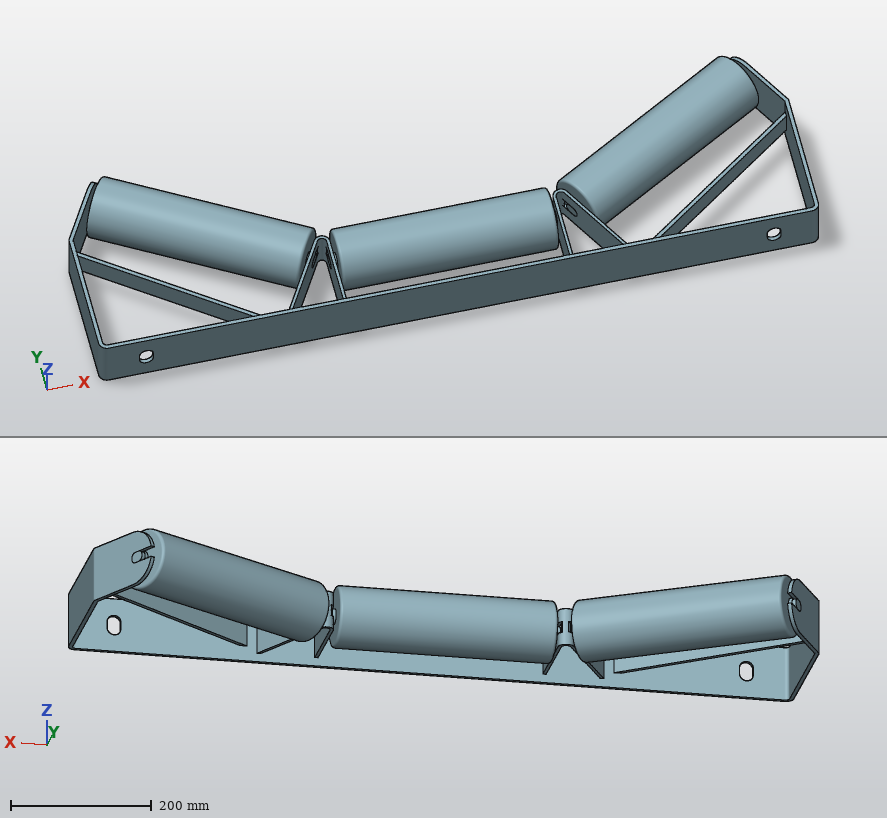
import cadquery as cq
import math

FRAME_LENGTH = 1050.0
STRIP_WIDTH = 80.0
STRIP_THICKNESS = 6.0
CORNER_RADIUS = 2 * STRIP_THICKNESS
TROUGH_ANGLE = 30.0
MOUNT_SPACING = 916.0
MOUNT_SLOT_WIDTH = 20.0
MOUNT_SLOT_LENGTH = 29.0

ROLLER_LENGTH = 315.0
ROLLER_DIAMETER = 89.0
ROLLER_EDGE_RADIUS = 4.0
SHAFT_DIAMETER = 22.0
SHAFT_FLATS = 16.0
END_CLEARANCE = 5.0
CENTRE_AXIS_Y = 100.0
WING_CENTRE_X = 333.0
WING_CENTRE_Y = 190.0
PLATE_TIP_RISE = 32.0

BRACKET_THICKNESS = 4.7
BRACKET_WIDTH = 55.0
BRACKET_BEND_RADIUS = 12.0

BRACE_THICKNESS = 6.0
BRACE_WIDTH = 35.0
BRACE_FOOT_X = 266.0
BRACE_HEAD_Y = 190.0

HALF_LENGTH = FRAME_LENGTH / 2
ANGLE = math.radians(TROUGH_ANGLE)
COS = math.cos(ANGLE)
SIN = math.sin(ANGLE)
SEAT = ROLLER_LENGTH / 2 + END_CLEARANCE
WING_OFFSET = WING_CENTRE_X * COS + WING_CENTRE_Y * SIN
SLOT_REACH = STRIP_WIDTH


def extrude_centred(sketch, width):
    """Extrude an XY outline symmetrically about Z = 0."""
    return sketch.extrude(width / 2, both=True)


def mirrored(body):
    """The same body on the -X side."""
    return body.mirror("YZ")


def x_on_tilted_face(offset, y):
    """X at height y on the face square to the wing shaft at this offset along it."""
    return (offset - y * SIN) / COS


def y_on_tilted_face(offset, x):
    """Y at position x on the face square to the wing shaft at this offset along it."""
    return (offset - x * COS) / SIN


def centre_plane(along):
    """Plane square to the centre shaft; local x is +Y and local y is +Z."""
    return cq.Plane(origin=(along, CENTRE_AXIS_Y, 0), xDir=(0, 1, 0), normal=(1, 0, 0))


def wing_plane(along):
    """Plane square to the +X wing shaft; local x points away from the base, local y is +Z."""
    origin = (WING_CENTRE_X + along * COS, WING_CENTRE_Y + along * SIN, 0)
    return cq.Plane(origin=origin, xDir=(-SIN, COS, 0), normal=(COS, SIN, 0))


def shaft_end_outline(plane):
    """Section of a shaft end: two flats facing +Z and -Z, joined by round sides."""
    return cq.Workplane(plane).slot2D(SHAFT_DIAMETER, SHAFT_FLATS)


def shaft_slot(plane, thickness):
    """Cutter for an open slot in a plate: fits the shaft end and runs out past the plate's tip."""
    return (
        cq.Workplane(plane)
        .center(SLOT_REACH / 2, 0)
        .slot2D(SHAFT_DIAMETER + SLOT_REACH, SHAFT_FLATS)
        .extrude(thickness)
    )


WALL_BEND_Y = y_on_tilted_face(WING_OFFSET + SEAT + STRIP_THICKNESS, HALF_LENGTH)


def make_roller(plane_at, near_plate, far_plate):
    """Roller with its shaft; the shaft ends lie flush with the far faces of the two plates."""
    shell = (
        cq.Workplane(plane_at(-ROLLER_LENGTH / 2))
        .circle(ROLLER_DIAMETER / 2)
        .extrude(ROLLER_LENGTH)
        .edges()
        .fillet(ROLLER_EDGE_RADIUS)
    )
    journals = cq.Workplane(plane_at(-SEAT)).circle(SHAFT_DIAMETER / 2).extrude(2 * SEAT)
    start = -SEAT - near_plate
    flats = shaft_end_outline(plane_at(start)).extrude(2 * SEAT + near_plate + far_plate)
    return shell.union(journals).union(flats)


def make_outer_plate():
    """Tilted plate at the top of the +X side wall, round at its tip and slotted for the shaft."""
    half_width = STRIP_WIDTH / 2
    bend_drop = (HALF_LENGTH - WING_CENTRE_X) * SIN - (WALL_BEND_Y - WING_CENTRE_Y) * COS
    round_start = PLATE_TIP_RISE - half_width
    plate = (
        cq.Workplane(wing_plane(SEAT))
        .moveTo(-bend_drop, half_width)
        .lineTo(round_start, half_width)
        .threePointArc((PLATE_TIP_RISE, 0), (round_start, -half_width))
        .lineTo(-bend_drop, -half_width)
        .close()
        .extrude(STRIP_THICKNESS)
    )
    return plate.cut(shaft_slot(wing_plane(SEAT), STRIP_THICKNESS))


def make_frame():
    """Base and two side walls as one bent strip, with the tilted plates and the mounting slots."""
    inner_x = HALF_LENGTH - STRIP_THICKNESS
    inner_bend_y = y_on_tilted_face(WING_OFFSET + SEAT, inner_x)
    outline = (
        cq.Workplane("XY")
        .moveTo(-HALF_LENGTH, 0)
        .lineTo(HALF_LENGTH, 0)
        .lineTo(HALF_LENGTH, WALL_BEND_Y)
        .lineTo(inner_x, inner_bend_y)
        .lineTo(inner_x, STRIP_THICKNESS)
        .lineTo(-inner_x, STRIP_THICKNESS)
        .lineTo(-inner_x, inner_bend_y)
        .lineTo(-HALF_LENGTH, WALL_BEND_Y)
        .close()
    )
    strip = extrude_centred(outline, STRIP_WIDTH)
    strip = strip.edges("|Z and <Y").fillet(CORNER_RADIUS)
    inside_corners = cq.selectors.BoxSelector(
        (-HALF_LENGTH, STRIP_THICKNESS / 2, -STRIP_WIDTH),
        (HALF_LENGTH, 2 * STRIP_THICKNESS, STRIP_WIDTH),
    )
    strip = strip.edges("|Z").edges(inside_corners).fillet(CORNER_RADIUS - STRIP_THICKNESS)

    mount_slots = (
        cq.Workplane("XZ")
        .pushPoints([(-MOUNT_SPACING / 2, 0), (MOUNT_SPACING / 2, 0)])
        .slot2D(MOUNT_SLOT_LENGTH, MOUNT_SLOT_WIDTH, 90)
        .extrude(-STRIP_THICKNESS)
    )
    plate = make_outer_plate()
    frame = strip.cut(mount_slots).union(plate).union(mirrored(plate))
    outer_bends = cq.selectors.BoxSelector(
        (-FRAME_LENGTH, WALL_BEND_Y - STRIP_THICKNESS / 4, -STRIP_WIDTH),
        (FRAME_LENGTH, WALL_BEND_Y + STRIP_THICKNESS / 4, STRIP_WIDTH),
    )
    outer_edges = frame.edges("|Z").edges(outer_bends).edges("<X or >X")
    return outer_edges.fillet(STRIP_THICKNESS)


def make_bracket():
    """Inner bracket on the +X side: an upright and a tilted leg joined by a bend at the top."""
    outer_offset = WING_OFFSET - SEAT
    inner_offset = outer_offset - BRACKET_THICKNESS
    inner_x = SEAT + BRACKET_THICKNESS
    foot_y = STRIP_THICKNESS

    outer = (
        cq.Workplane("XY")
        .moveTo(SEAT, foot_y)
        .lineTo(x_on_tilted_face(outer_offset, foot_y), foot_y)
        .lineTo(SEAT, y_on_tilted_face(outer_offset, SEAT))
        .close()
    )
    inner = (
        cq.Workplane("XY")
        .moveTo(inner_x, foot_y)
        .lineTo(x_on_tilted_face(inner_offset, foot_y), foot_y)
        .lineTo(inner_x, y_on_tilted_face(inner_offset, inner_x))
        .close()
    )
    solid = extrude_centred(outer, BRACKET_WIDTH).edges("|Z and >Y").fillet(BRACKET_BEND_RADIUS)
    hollow = extrude_centred(inner, BRACKET_WIDTH)
    hollow = hollow.edges("|Z and >Y").fillet(BRACKET_BEND_RADIUS - BRACKET_THICKNESS)

    centre_slot = shaft_slot(centre_plane(SEAT), BRACKET_THICKNESS)
    wing_slot = shaft_slot(wing_plane(-SEAT - BRACKET_THICKNESS), BRACKET_THICKNESS)
    return solid.cut(hollow).cut(centre_slot).cut(wing_slot)


def make_brace():
    """Flat brace on the +X side, running from the base up to the top of the side wall."""
    wall_x = HALF_LENGTH - STRIP_THICKNESS
    slope = math.atan2(BRACE_HEAD_Y - STRIP_THICKNESS, wall_x - BRACE_FOOT_X)
    outline = (
        cq.Workplane("XY")
        .moveTo(BRACE_FOOT_X, STRIP_THICKNESS)
        .lineTo(BRACE_FOOT_X + BRACE_THICKNESS / math.sin(slope), STRIP_THICKNESS)
        .lineTo(wall_x, BRACE_HEAD_Y - BRACE_THICKNESS / math.cos(slope))
        .lineTo(wall_x, BRACE_HEAD_Y)
        .close()
    )
    return extrude_centred(outline, BRACE_WIDTH)


frame = make_frame()
centre_roller = make_roller(centre_plane, BRACKET_THICKNESS, BRACKET_THICKNESS)
bodies = [frame.val(), centre_roller.val()]

wing_roller = make_roller(wing_plane, BRACKET_THICKNESS, STRIP_THICKNESS)
for side_body in (wing_roller, make_bracket(), make_brace()):
    bodies.append(side_body.val())
    bodies.append(mirrored(side_body).val())

result = cq.Compound.makeCompound(bodies)